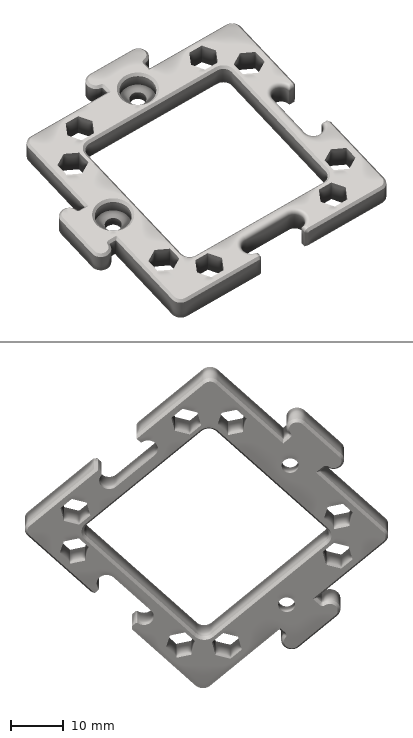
import cadquery as cq
import math

FRAME = 50.0
HALF_FRAME = FRAME / 2
HEIGHT = 5.0
CORNER_RADIUS = 2.0
WINDOW = 34.0
EDGE_CHAMFER = 0.5

OUTER_SIZE = 55.6
TAB_REACH = OUTER_SIZE - FRAME
NECK_HALF_WIDTH = 5.0
HEAD_RADIUS = 2.0
HEAD_DEPTH = TAB_REACH - HEAD_RADIUS
NECK_FILLET = 0.3
TAB_OVERLAP = 0.55
SOCKET_CLEARANCE = 0.1
SOCKET_HEAD_RADIUS = 1.9
SOCKET_FILLET = 0.9

SCREW_HOLE_DIAMETER = 3.2
COUNTERBORE_DIAMETER = 7.0
COUNTERBORE_DEPTH = 3.0
SCREW_INSET = 3.0

HEX_SIDES = 6
HEX_ACROSS_FLATS = 5.1
HEX_INSET = 4.2
HEX_OFFSET = 14.55

SIDE_TURNS = (0, -90)
HEX_TURNS = (0, 90, 180, 270)

MARGIN = 0.03


def turned(solid, angle):
    """Turn a solid about the Z axis through the frame centre."""
    return solid.rotate((0, 0, 0), (0, 0, 1), angle)


def t_prism(neck_half_width, head_radius, root_y, head_y):
    """T-shaped prism: a neck going from root_y toward -Y and a round-ended head.

    The head ends are centred on the neck sides at head_y and meet the neck in small fillets."""
    end_y = head_y - head_radius
    tip_x = neck_half_width + head_radius

    centre_distance = head_radius + NECK_FILLET
    touch_angle = math.acos(NECK_FILLET / centre_distance)
    fillet_x = neck_half_width + NECK_FILLET
    fillet_y = head_y + centre_distance * math.sin(touch_angle)
    touch_x = neck_half_width + head_radius * math.cos(touch_angle)
    touch_y = head_y + head_radius * math.sin(touch_angle)
    middle_x = fillet_x - NECK_FILLET * math.cos(touch_angle / 2)
    middle_y = fillet_y - NECK_FILLET * math.sin(touch_angle / 2)

    return (
        cq.Workplane("XY")
        .moveTo(neck_half_width, root_y)
        .lineTo(neck_half_width, fillet_y)
        .threePointArc((middle_x, middle_y), (touch_x, touch_y))
        .threePointArc((tip_x, head_y), (neck_half_width, end_y))
        .lineTo(-neck_half_width, end_y)
        .threePointArc((-tip_x, head_y), (-touch_x, touch_y))
        .threePointArc((-middle_x, middle_y), (-neck_half_width, fillet_y))
        .lineTo(-neck_half_width, root_y)
        .close()
        .extrude(HEIGHT)
    )


def region(x_range, y_range):
    """Selector for edges whose centre lies in a rectangle in plan."""
    (x_min, x_max), (y_min, y_max) = x_range, y_range
    return cq.selectors.BoxSelector((x_min, y_min, -MARGIN), (x_max, y_max, HEIGHT + MARGIN))


def plate():
    """Solid square plate with its tabs and sockets, before any edge is broken."""
    solid = cq.Workplane("XY").box(FRAME, FRAME, HEIGHT, centered=(True, True, False))
    solid = solid.edges("|Z").fillet(CORNER_RADIUS)
    tab = t_prism(NECK_HALF_WIDTH, HEAD_RADIUS, -HALF_FRAME + TAB_OVERLAP, -HALF_FRAME - HEAD_DEPTH)
    socket = t_prism(
        NECK_HALF_WIDTH + SOCKET_CLEARANCE, SOCKET_HEAD_RADIUS, HALF_FRAME, HALF_FRAME - HEAD_DEPTH
    )
    for angle in SIDE_TURNS:
        solid = solid.union(turned(tab, angle)).cut(turned(socket, angle))
    return solid


def break_edges(solid):
    """Round the upper rims of the sockets and chamfer the outer edges of the plate.

    The chamfer runs down the mouth corners of the sockets. The lower rims of the sockets and
    the lower edge from the -Y tab round the corner to the +X socket stay sharp."""
    reach = NECK_HALF_WIDTH + 2 * HEAD_RADIUS
    across = (-reach, reach)
    inward = (HALF_FRAME - TAB_REACH - MARGIN, HALF_FRAME - MARGIN)
    socket_rims = region(across, inward) + region(inward, across)
    sharp_edges = region(
        (NECK_HALF_WIDTH + MARGIN, HALF_FRAME + MARGIN),
        (-HALF_FRAME - MARGIN, -NECK_HALF_WIDTH - MARGIN),
    )
    upper_edges = cq.selectors.InverseSelector(socket_rims)
    lower_edges = cq.selectors.InverseSelector(socket_rims + sharp_edges)
    solid = solid.faces(">Z").edges(socket_rims).fillet(SOCKET_FILLET)
    solid = solid.faces(">Z").edges(upper_edges).chamfer(EDGE_CHAMFER)
    return solid.faces("<Z").edges(lower_edges).chamfer(EDGE_CHAMFER)


def cut_window(solid):
    """Cut the central opening and chamfer both of its rims."""
    opening = cq.Workplane("XY").rect(WINDOW, WINDOW).extrude(HEIGHT)
    opening = opening.edges("|Z").fillet(CORNER_RADIUS)
    span = (-WINDOW / 2 - MARGIN, WINDOW / 2 + MARGIN)
    solid = solid.cut(opening)
    return solid.faces("<Z or >Z").edges(region(span, span)).chamfer(EDGE_CHAMFER)


def screw_hole():
    """Cutter for the counterbored screw hole beside the -Y tab, with a chamfered mouth."""
    radius = COUNTERBORE_DIAMETER / 2
    floor = HEIGHT - COUNTERBORE_DEPTH
    profile = (
        cq.Workplane("XZ")
        .lineTo(SCREW_HOLE_DIAMETER / 2, 0)
        .lineTo(SCREW_HOLE_DIAMETER / 2, floor)
        .lineTo(radius, floor)
        .lineTo(radius, HEIGHT - EDGE_CHAMFER)
        .lineTo(radius + EDGE_CHAMFER, HEIGHT)
        .lineTo(0, HEIGHT)
        .close()
    )
    return profile.revolve().translate((0, -HALF_FRAME + SCREW_INSET, 0))


def hex_holes():
    """Cutter for the two hexagonal holes of the -Y side, flats parallel to that side."""
    across_corners = HEX_ACROSS_FLATS / math.cos(math.pi / HEX_SIDES)
    hole_y = -HALF_FRAME + HEX_INSET
    return (
        cq.Workplane("XY")
        .pushPoints([(-HEX_OFFSET, hole_y), (HEX_OFFSET, hole_y)])
        .polygon(HEX_SIDES, across_corners)
        .extrude(HEIGHT)
    )


result = cut_window(break_edges(plate()))
for angle in SIDE_TURNS:
    result = result.cut(turned(screw_hole(), angle))
for angle in HEX_TURNS:
    result = result.cut(turned(hex_holes(), angle))